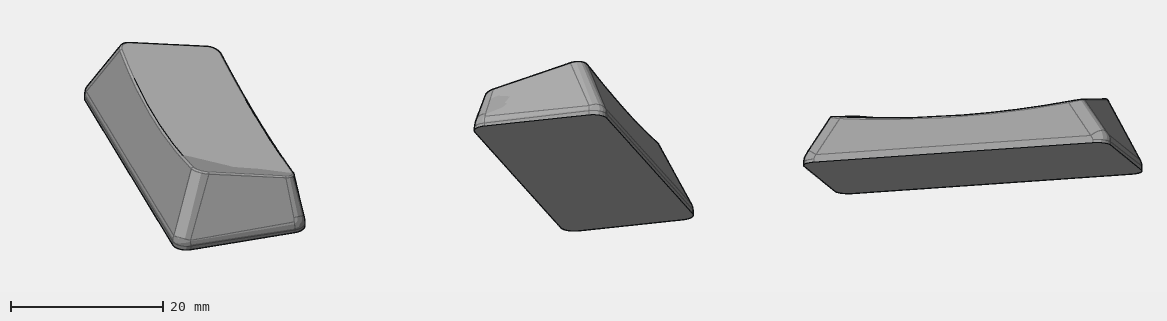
import cadquery as cq
import math

base_length = 41.97
base_width = 18.16
skirt_height = 1.0

top_length = 34.6
top_front_y = -5.2
top_front_z = 9.5
top_back_y = 8.65
top_back_z = 6.15

front_dish_depth = 1.5
back_dish_depth = 1.05
dish_overrun = 1.0

wall_fillet_radius = 1.9
rim_fillet_radius = 0.3

taper_extent = 1.2


def past_rim(base_value, rim_value):
    """Continue the straight taper from the skirt through the rim."""
    return base_value + taper_extent * (rim_value - base_value)


def crosswise_rectangle(half_length, front_y, front_z, back_y, back_z):
    """Rectangle with its front and back edges along X, each at its own height."""
    corners = [
        cq.Vector(-half_length, front_y, front_z),
        cq.Vector(half_length, front_y, front_z),
        cq.Vector(half_length, back_y, back_z),
        cq.Vector(-half_length, back_y, back_z),
    ]
    return cq.Wire.makePolygon(corners, close=True)


def make_skirt():
    return cq.Workplane().rect(base_length, base_width).extrude(skirt_height)


def make_tapered_walls():
    """Four walls rising from the level skirt to a tilted rectangle above the rim."""
    half_base = base_length / 2
    half_upper = past_rim(base_length, top_length) / 2
    front_y = past_rim(-base_width / 2, top_front_y)
    back_y = past_rim(base_width / 2, top_back_y)
    front_z = past_rim(skirt_height, top_front_z)
    back_z = past_rim(skirt_height, top_back_z)
    lower = crosswise_rectangle(half_base, -base_width / 2, skirt_height, base_width / 2, skirt_height)
    upper = crosswise_rectangle(half_upper, front_y, front_z, back_y, back_z)
    return cq.Workplane(cq.Solid.makeLoft([lower, upper], True))


def round_walls(body):
    """Round the upright corners, the slanted corners and the bend above the skirt together."""
    open_edges = body.faces(">Z").edges().vals() + body.faces("<Z").edges().vals()
    wall_edges = []
    for edge in body.edges().vals():
        if not any(edge.isSame(open_edge) for open_edge in open_edges):
            wall_edges.append(edge)
    return body.newObject(wall_edges).fillet(wall_fillet_radius)


def dish_section(share):
    """Arc-bottomed outline across the top; share runs from 0 at the front rim to 1 at the back rim."""
    depth = front_dish_depth + share * (back_dish_depth - front_dish_depth)
    half_chord = top_length / 2
    radius = (half_chord**2 + depth**2) / (2 * depth)
    half_width = base_length / 2
    edge_height = radius - depth - math.sqrt(radius**2 - half_width**2)
    y = top_front_y + share * (top_back_y - top_front_y)
    z = top_front_z + share * (top_back_z - top_front_z)
    left = cq.Vector(-half_width, y, z + edge_height)
    right = cq.Vector(half_width, y, z + edge_height)
    bottom = cq.Vector(0, y, z - depth)
    lift = cq.Vector(0, 0, top_front_z)
    arc = cq.Edge.makeThreePointArc(left, bottom, right)
    lid = cq.Wire.makePolygon([right, right + lift, left + lift, left])
    return cq.Wire.assembleEdges([arc] + lid.Edges())


def make_dish_cutter():
    """Ruled cutter along the slope of the top, level with the rim at both side walls."""
    before_front = dish_section(-dish_overrun)
    behind_back = dish_section(1 + dish_overrun)
    return cq.Workplane(cq.Solid.makeLoft([before_front, behind_back], True))


def round_rim(body):
    """Round the edge all around the dished top."""
    dish_face = body.faces(cq.selectors.NearestToPointSelector((0, 0, top_front_z)))
    return dish_face.edges().fillet(rim_fillet_radius)


walls = round_walls(make_skirt().union(make_tapered_walls()))
result = round_rim(walls.cut(make_dish_cutter()))